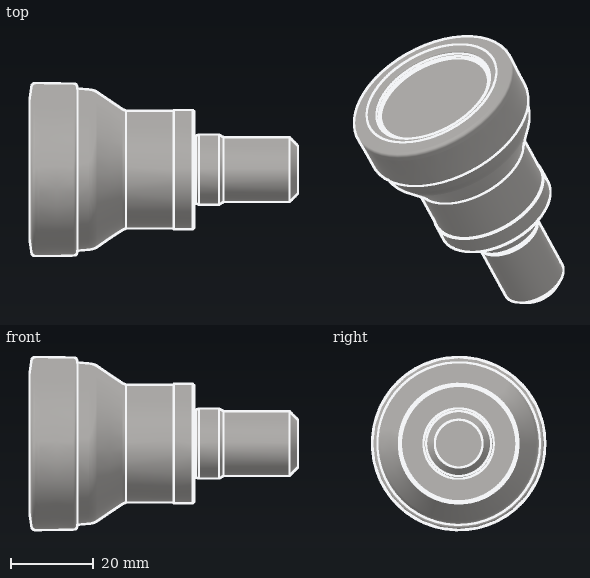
import cadquery as cq


RIM_RADIUS = 21.0
RIM_REAR_RADIUS = 20.85
RIM_REAR_X = 11.55
RIM_REAR_FILLET = 0.85
RIM_SHOULDER_X = 2.55
RIM_ROUND_X = 1.55
ROUND_MID_X = 0.8
ROUND_MID_RADIUS = 20.7

FACE_PEAK_RADIUS = 17.1
FACE_EDGE_X = 0.45
FACE_EDGE_RADIUS = 20.2
LIP_X = 0.3
LIP_RADIUS = 15.7
LIP_MID_X = 0.5
LIP_MID_RADIUS = 15.2

SEAT_X = 1.05
SEAT_INNER_RADIUS = 14.95
SEAT_OUTER_RADIUS = 19.7

RECESS_STEP_X = 1.55
RECESS_STEP_RADIUS = 14.55
RECESS_FLOOR_X = 1.8
RECESS_FLOOR_RADIUS = 14.1

HEAD_REAR_X = 14.5
HEAD_REAR_RADIUS = 19.4
HEAD_ROUND_MID_X = 15.45
HEAD_ROUND_MID_RADIUS = 19.2
CONE_FRONT_X = 16.3
CONE_FRONT_RADIUS = 18.85
CONE_REAR_X = 22.55
CONE_REAR_RADIUS = 14.6
NECK_START_X = 23.3
NECK_RADIUS = 28.6 / 2

COLLAR_X = 34.9
COLLAR_END_X = 39.95
COLLAR_RADIUS = 29.0 / 2
COLLAR_FRONT_CHAMFER = 0.1
COLLAR_REAR_CHAMFER = 0.5

UNDERCUT_X = 40.3
UNDERCUT_RADIUS = 8.25
SHOULDER_START_X = 41.05
SHOULDER_END_X = 45.8
SHOULDER_RADIUS = 17.0 / 2
ROD_START_X = 47.0
ROD_RADIUS = 15.7 / 2
ROD_END_X = 65
ROD_CHAMFER = 2.1


def revolve_about_x(profile):
    return profile.close().revolve(360, (0, 0, 0), (1, 0, 0))


def make_grip_ring():
    """Rounded ring that wraps the front edge and the outside of the body."""
    profile = (
        cq.Workplane("XY")
        .moveTo(SEAT_X, SEAT_INNER_RADIUS)
        .threePointArc((LIP_MID_X, LIP_MID_RADIUS), (LIP_X, LIP_RADIUS))
        .lineTo(0, FACE_PEAK_RADIUS)
        .lineTo(FACE_EDGE_X, FACE_EDGE_RADIUS)
        .threePointArc((ROUND_MID_X, ROUND_MID_RADIUS), (RIM_ROUND_X, RIM_RADIUS))
        .lineTo(RIM_SHOULDER_X, RIM_RADIUS)
        .lineTo(RIM_REAR_X - RIM_REAR_FILLET, RIM_REAR_RADIUS)
        .radiusArc((RIM_REAR_X, RIM_REAR_RADIUS - RIM_REAR_FILLET), RIM_REAR_FILLET)
        .lineTo(RIM_REAR_X, SEAT_OUTER_RADIUS)
        .lineTo(SEAT_X, SEAT_OUTER_RADIUS)
    )
    return revolve_about_x(profile)


def make_body():
    """Recessed head narrowing through a cone to a neck, collar, shoulder and rod."""
    profile = (
        cq.Workplane("XY")
        .moveTo(RECESS_FLOOR_X, 0)
        .lineTo(RECESS_FLOOR_X, RECESS_FLOOR_RADIUS)
        .lineTo(RECESS_STEP_X, RECESS_STEP_RADIUS)
        .lineTo(SEAT_X, SEAT_INNER_RADIUS)
        .lineTo(SEAT_X, SEAT_OUTER_RADIUS)
        .lineTo(RIM_REAR_X, SEAT_OUTER_RADIUS)
        .lineTo(HEAD_REAR_X, HEAD_REAR_RADIUS)
        .threePointArc((HEAD_ROUND_MID_X, HEAD_ROUND_MID_RADIUS), (CONE_FRONT_X, CONE_FRONT_RADIUS))
        .lineTo(CONE_REAR_X, CONE_REAR_RADIUS)
        .lineTo(NECK_START_X, NECK_RADIUS)
        .lineTo(COLLAR_X, NECK_RADIUS)
        .lineTo(COLLAR_X, COLLAR_RADIUS - COLLAR_FRONT_CHAMFER)
        .lineTo(COLLAR_X + COLLAR_FRONT_CHAMFER, COLLAR_RADIUS)
        .lineTo(COLLAR_END_X - COLLAR_REAR_CHAMFER, COLLAR_RADIUS)
        .lineTo(COLLAR_END_X, COLLAR_RADIUS - COLLAR_REAR_CHAMFER)
        .lineTo(COLLAR_END_X, UNDERCUT_RADIUS)
        .lineTo(UNDERCUT_X, UNDERCUT_RADIUS)
        .lineTo(SHOULDER_START_X, SHOULDER_RADIUS)
        .lineTo(SHOULDER_END_X, SHOULDER_RADIUS)
        .lineTo(ROD_START_X, ROD_RADIUS)
        .lineTo(ROD_END_X - ROD_CHAMFER, ROD_RADIUS)
        .lineTo(ROD_END_X, ROD_RADIUS - ROD_CHAMFER)
        .lineTo(ROD_END_X, 0)
    )
    return revolve_about_x(profile)


grip_ring = make_grip_ring()
body = make_body()
result = cq.Compound.makeCompound([grip_ring.val(), body.val()])